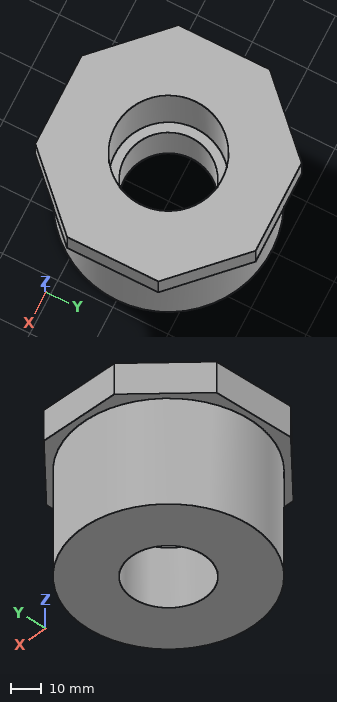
import cadquery as cq
import math

across_flats = 80.0
total_height = 57.0
head_height = 13.0
spigot_diameter = 74.9
socket_diameter = 38.9
socket_depth = 32.0
bore_diameter = 32.0

spigot_height = total_height - head_height
across_corners = across_flats / math.cos(math.pi / 8)

spigot = cq.Workplane("XY").circle(spigot_diameter / 2).extrude(spigot_height)

head = (
    cq.Workplane("XY")
    .polygon(8, across_corners)
    .extrude(head_height)
    .rotate((0, 0, 0), (0, 0, 1), 360 / 16)
    .translate((0, 0, spigot_height))
)

bushing = spigot.union(head)
result = (
    bushing.faces(">Z")
    .workplane(origin=(0, 0, total_height))
    .cboreHole(bore_diameter, socket_diameter, socket_depth)
)